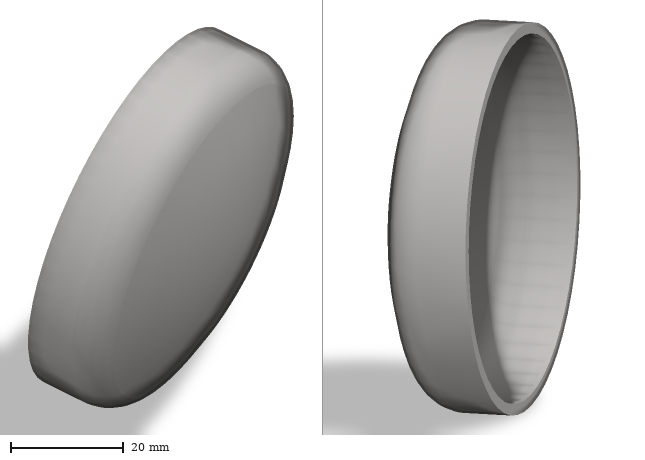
import cadquery as cq
import math

outer_diameter = 70.0
inner_diameter = 66.0
cap_depth = 21.8
skirt_length = 8.75
knuckle_radius = 7.0

outer_radius = outer_diameter / 2
wall = (outer_diameter - inner_diameter) / 2

knuckle_center_y = outer_radius - knuckle_radius
crown_height = cap_depth - skirt_length
dome_radius = (crown_height**2 + knuckle_center_y**2 - knuckle_radius**2) / (
    2 * (crown_height - knuckle_radius)
)
dome_center_x = cap_depth - dome_radius
tangent_angle = math.atan2(knuckle_center_y, skirt_length - dome_center_x)


def knuckle_point(angle, offset):
    """Point on the knuckle, inset by offset; angle is measured from the axis."""
    radius = knuckle_radius - offset
    x = skirt_length + radius * math.cos(angle)
    y = knuckle_center_y + radius * math.sin(angle)
    return x, y


def dome_point(angle, offset):
    """Point on the dome, inset by offset; angle is measured from the axis."""
    radius = dome_radius - offset
    return dome_center_x + radius * math.cos(angle), radius * math.sin(angle)


def domed_solid(offset):
    """Solid of revolution bounded by the outer surface inset by offset."""
    rim_radius = outer_radius - offset
    knuckle_mid_angle = (math.pi / 2 + tangent_angle) / 2
    return (
        cq.Workplane("XY")
        .lineTo(0, rim_radius)
        .lineTo(skirt_length, rim_radius)
        .threePointArc(
            knuckle_point(knuckle_mid_angle, offset),
            knuckle_point(tangent_angle, offset),
        )
        .threePointArc(dome_point(tangent_angle / 2, offset), dome_point(0, offset))
        .close()
        .revolve(360, (0, 0, 0), (1, 0, 0))
    )


result = domed_solid(0).cut(domed_solid(wall))